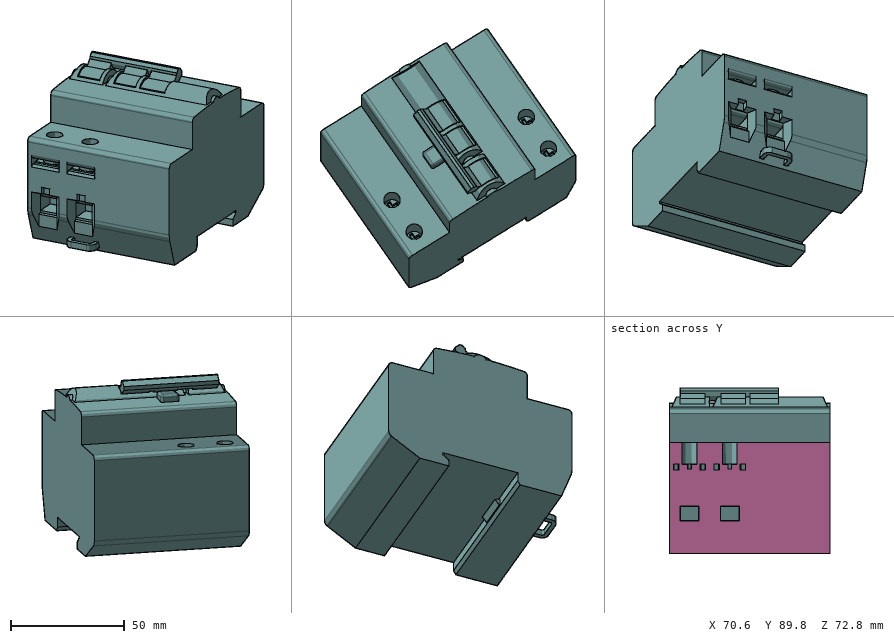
import cadquery as cq
import math

width = 70.6
half_depth = 43.9
shoulder_z = 48.9
shoulder_round = 2.0
neck_half_depth = 22.5
neck_edge_z = 63.3
crown_z = 64.5
neck_round = 2.0

front_foot_y = -38.9
front_bend_z = 14.2
front_bend_round = 10.0
rear_foot_y = 29.0
rear_bend_z = 8.8
rear_bend_round = 3.0

rail_half_width = 17.9
rail_top_z = 6.4
rear_hook_y = 15.15
rear_hook_low_z = 3.2
rear_hook_high_z = 5.5
front_lip_y = -19.05
front_lip_z = 2.0

pole_centers_x = (8.85, 26.55)
terminal_half_width = 6.85
screw_y = 35.25
screw_hole_diameter = 7.1
screw_head_diameter = 10.0
screw_head_top_z = 39.3
screw_head_bottom_z = 36.8
cross_length = 5.6
cross_width = 1.4
cross_depth = 2.0

window_bottom_z = 35.4
window_top_z = 40.9
window_depth = 8.0
window_sill_z = 36.5
window_ramp_run = 0.7

funnel_depth = 3.0
funnel_top_z = 23.6
funnel_inner_top_z = 22.6
clamp_half_width = 4.05
clamp_depth = 9.0
clamp_floor_z = 14.5
clamp_top_z = 20.8
sill_depth = 2.5
sill_front_z = 12.8
sill_rear_z = 13.5
key_slot_half_width = 2.0
key_slot_top_z = 26.7
key_slot_depth = 2.6

drum_radius = 8.1
drum_axis_z = 60.75
drum_base_z = 62.5
drum_slope_z = 64.4
drum_end_offset = 1.1
drum_end_offset_top = 3.1
first_drum_end_x = 17.6
second_pole_x = 18.0
hub_radius = 3.3
hub_axis_z = 62.8

grip_spans_x = ((4.7, 15.6), (22.7, 33.5), (35.5, 48.0))
seat_radius = 7.3
seat_ledge_z = 65.75
seat_rear_y = 4.0

overall_top_z = 72.79
bar_rear_corner = (9.95, 69.0)
bar_rear_shoulder = (9.95, 70.75)
bar_top_rear = (8.0, overall_top_z)
bar_top_front = (6.6, overall_top_z)
bar_front_shoulder = (5.2, 71.4)
bar_underside_mid = (5.4, 68.8)
bar_root = (7.2, 67.15)
web_ridge = (4.9, 70.25)
web_ridge_rear = (6.5, 70.25)
web_toe = (2.45, 67.6)
web_toe_base = (2.0, 65.5)
web_heel = (6.0, 66.4)

button_x = (24.2, 32.5)
button_y = (7.6, 15.6)
button_top_z = 67.2
button_round = 1.0

latch_x = (19.6, 33.5)
latch_z = (1.75, 4.7)
latch_front_y = -45.9
latch_round = 3.0
latch_wall = 2.0
latch_root_y = -38.0
nose_tip = (-15.5, 4.7)
nose_top_y = -17.9
nose_bottom_y = -17.6
nose_root_y = -19.0
nose_top_z = 5.8
nose_bottom_z = 2.3


def box(x_range, y_range, z_range):
    """Axis-aligned block between the given limits."""
    size = [high - low for low, high in (x_range, y_range, z_range)]
    corner = (x_range[0], y_range[0], z_range[0])
    return cq.Workplane("XY").box(*size, centered=False).translate(corner)


def extrude_along_x(points, x_start, x_end):
    """Prism along X from a closed outline of (y, z) points."""
    return cq.Workplane("YZ", origin=(x_start, 0, 0)).polyline(points).close().extrude(x_end - x_start)


def rod_along_x(radius, axis_z, x_start, x_end):
    """Cylinder along X on the centre plane Y = 0."""
    return cq.Workplane("YZ", origin=(x_start, 0, 0)).center(0, axis_z).circle(radius).extrude(x_end - x_start)


def frustum_from_front(outer, inner, outer_y, inner_y):
    """Tapering block between two (x_min, x_max, z_min, z_max) rectangles facing the front."""
    def rectangle_wire(rectangle, y):
        x_min, x_max, z_min, z_max = rectangle
        corners = [(x_min, y, z_min), (x_max, y, z_min), (x_max, y, z_max), (x_min, y, z_max)]
        return cq.Wire.makePolygon([cq.Vector(*corner) for corner in corners], close=True)

    wires = [rectangle_wire(outer, outer_y), rectangle_wire(inner, inner_y)]
    return cq.Workplane("XY").newObject([cq.Solid.makeLoft(wires, True)])


def quarter_arc_inset(radius):
    """Distance from the middle of a quarter round to each of its two tangent faces."""
    return radius * (1 - math.sqrt(0.5))


def round_edge(solid, y, z, radius):
    """Round the full-width edge that runs along X through (y, z)."""
    reach = 0.1
    selector = cq.selectors.BoxSelector(
        (-reach, y - reach, z - reach), (width + reach, y + reach, z + reach)
    )
    return solid.edges(selector).fillet(radius)


def make_housing():
    """Stepped breaker housing with a slightly domed crown and a rail recess."""
    housing = (
        cq.Workplane("YZ")
        .moveTo(front_foot_y, 0)
        .lineTo(-half_depth, front_bend_z)
        .lineTo(-half_depth, shoulder_z)
        .lineTo(-neck_half_depth, shoulder_z)
        .lineTo(-neck_half_depth, neck_edge_z)
        .threePointArc((0, crown_z), (neck_half_depth, neck_edge_z))
        .lineTo(neck_half_depth, shoulder_z)
        .lineTo(half_depth, shoulder_z)
        .lineTo(half_depth, rear_bend_z)
        .lineTo(rear_foot_y, 0)
        .lineTo(rear_hook_y, 0)
        .lineTo(rear_hook_y, rear_hook_low_z)
        .lineTo(rail_half_width, rear_hook_high_z)
        .lineTo(rail_half_width, rail_top_z)
        .lineTo(-rail_half_width, rail_top_z)
        .lineTo(-rail_half_width, front_lip_z)
        .lineTo(front_lip_y, 0)
        .close()
        .extrude(width)
    )
    for side in (-1, 1):
        housing = round_edge(housing, side * half_depth, shoulder_z, shoulder_round)
        housing = round_edge(housing, side * neck_half_depth, neck_edge_z, neck_round)
    housing = round_edge(housing, -half_depth, front_bend_z, front_bend_round)
    return round_edge(housing, half_depth, rear_bend_z, rear_bend_round)


def cut_screw_hole(solid, x, y):
    """Access hole down to a screw head with a cross recess."""
    hole = (
        cq.Workplane("XY", origin=(x, y, screw_head_top_z))
        .circle(screw_hole_diameter / 2)
        .extrude(shoulder_z - screw_head_top_z)
    )
    cross = (
        cq.Workplane("XY", origin=(x, y, screw_head_top_z - cross_depth))
        .rect(cross_length, cross_width)
        .extrude(cross_depth)
    )
    crossbar = cross.rotate((x, y, 0), (x, y, 1), 90)
    return solid.cut(hole).cut(cross).cut(crossbar)


def cut_window(solid, x):
    """Front window with a rounded lintel and stepped sill, exposing the side of the screw head."""
    front_y = -half_depth
    head_front_y = -screw_y - screw_head_diameter / 2
    sill_rise = window_sill_z - window_bottom_z
    lintel_radius = window_top_z - screw_head_top_z
    lintel_mid = quarter_arc_inset(lintel_radius)
    opening = (
        cq.Workplane("YZ", origin=(x - terminal_half_width, 0, 0))
        .moveTo(front_y, window_bottom_z)
        .lineTo(front_y + sill_rise, window_sill_z)
        .lineTo(head_front_y - window_ramp_run, window_sill_z)
        .lineTo(head_front_y, screw_head_bottom_z)
        .lineTo(front_y + window_depth, screw_head_bottom_z)
        .lineTo(front_y + window_depth, screw_head_top_z)
        .lineTo(front_y + lintel_radius, screw_head_top_z)
        .threePointArc((front_y + lintel_mid, screw_head_top_z + lintel_mid), (front_y, window_top_z))
        .close()
        .extrude(2 * terminal_half_width)
    )
    head = (
        cq.Workplane("XY", origin=(x, -screw_y, screw_head_bottom_z))
        .circle(screw_head_diameter / 2)
        .extrude(screw_head_top_z - screw_head_bottom_z)
    )
    return solid.cut(opening.cut(head))


def cut_terminal(solid, x):
    """Wire entry: funnel with a stepped sill, deep clamp opening, and a key slot above."""
    front_y = -half_depth
    sill_y = front_y + sill_depth
    funnel_y = front_y + funnel_depth
    clamp_rear_y = funnel_y + clamp_depth

    funnel = frustum_from_front(
        (x - terminal_half_width, x + terminal_half_width, 0, funnel_top_z),
        (x - clamp_half_width, x + clamp_half_width, 0, funnel_inner_top_z),
        front_y,
        funnel_y,
    )
    above_sill = [
        (front_y, 0),
        (sill_y, 0),
        (sill_y, sill_front_z),
        (funnel_y, sill_rear_z),
        (funnel_y, funnel_top_z),
        (front_y, funnel_top_z),
    ]
    funnel = funnel.intersect(extrude_along_x(above_sill, x - terminal_half_width, x + terminal_half_width))

    lip_radius = funnel_inner_top_z - clamp_top_z
    lip_mid = quarter_arc_inset(lip_radius)
    clamp = (
        cq.Workplane("YZ", origin=(x - clamp_half_width, 0, 0))
        .moveTo(funnel_y, clamp_floor_z)
        .lineTo(clamp_rear_y, clamp_floor_z)
        .lineTo(clamp_rear_y, clamp_top_z)
        .lineTo(funnel_y + lip_radius, clamp_top_z)
        .threePointArc((funnel_y + lip_mid, clamp_top_z + lip_mid), (funnel_y, funnel_inner_top_z))
        .close()
        .extrude(2 * clamp_half_width)
    )
    key_slot_x = (x - key_slot_half_width, x + key_slot_half_width)
    key_slot = box(key_slot_x, (front_y, front_y + key_slot_depth), (funnel_inner_top_z, key_slot_top_z))
    return solid.cut(funnel).cut(clamp).cut(key_slot)


def make_drum(x_start, x_end, slope_at_end):
    """Toggle drum above the crown; its left end always slopes, its right end optionally."""
    drum_top_z = drum_axis_z + drum_radius
    lean = (drum_end_offset_top - drum_end_offset) / (drum_top_z - drum_slope_z)
    low_offset = drum_end_offset - lean * (drum_slope_z - drum_base_z)
    end_low_offset = low_offset if slope_at_end else 0
    end_top_offset = drum_end_offset_top if slope_at_end else 0
    side_shape = [
        (x_start + low_offset, drum_base_z),
        (x_end - end_low_offset, drum_base_z),
        (x_end - end_top_offset, drum_top_z),
        (x_start + drum_end_offset_top, drum_top_z),
    ]
    envelope = cq.Workplane("XZ").polyline(side_shape).close().extrude(drum_radius, both=True)
    return rod_along_x(drum_radius, drum_axis_z, x_start, x_end).intersect(envelope)


def make_drums():
    """Toggle drums with recessed seats, and the hub that carries them across the full width."""
    hub = rod_along_x(hub_radius, hub_axis_z, 0, width)
    first = make_drum(0, first_drum_end_x, False)
    second = make_drum(second_pole_x, width, True)
    drums = first.union(second)
    for span in grip_spans_x:
        seat_block = box(span, (-drum_radius, seat_rear_y), (seat_ledge_z, drum_axis_z + drum_radius))
        seat_core = rod_along_x(seat_radius, drum_axis_z, *span)
        drums = drums.cut(seat_block.cut(seat_core))
    return drums.union(hub)


def make_handle():
    """Tilted finger bar with a rounded underside, joined to the drum seats by sloping webs."""
    bar = (
        cq.Workplane("YZ", origin=(grip_spans_x[0][0], 0, 0))
        .moveTo(*bar_front_shoulder)
        .lineTo(*bar_top_front)
        .lineTo(*bar_top_rear)
        .lineTo(*bar_rear_shoulder)
        .lineTo(*bar_rear_corner)
        .lineTo(*bar_root)
        .threePointArc(bar_underside_mid, bar_front_shoulder)
        .close()
        .extrude(grip_spans_x[-1][1] - grip_spans_x[0][0])
    )
    web_section = [web_ridge, web_ridge_rear, bar_root, web_heel, web_toe_base, web_toe]
    for span in grip_spans_x:
        bar = bar.union(extrude_along_x(web_section, *span))
    return bar


def make_button():
    """Test button with rounded edges behind the handle."""
    button = box(button_x, button_y, (drum_base_z, button_top_z))
    return button.edges("|Z").fillet(button_round).faces(">Z").edges().fillet(button_round)


def make_latch():
    """Rail latch: pull loop at the front and a wedge nose in the rail recess."""
    loop = box(latch_x, (latch_front_y, latch_root_y), latch_z)
    loop = loop.edges("|Z and <Y").fillet(latch_round)
    opening_x = (latch_x[0] + latch_wall, latch_x[1] - latch_wall)
    opening = box(opening_x, (latch_front_y + latch_wall, latch_root_y), latch_z)
    opening = opening.edges("|Z and <Y").fillet(latch_round - latch_wall)
    nose_section = [
        nose_tip,
        (nose_top_y, nose_top_z),
        (nose_root_y, nose_top_z),
        (nose_root_y, nose_bottom_z),
        (nose_bottom_y, nose_bottom_z),
    ]
    nose = extrude_along_x(nose_section, *latch_x)
    return loop.cut(opening).union(nose)


result = make_housing()
for pole_x in pole_centers_x:
    for row_y in (-screw_y, screw_y):
        result = cut_screw_hole(result, pole_x, row_y)
    result = cut_window(result, pole_x)
    result = cut_terminal(result, pole_x)
for attachment in (make_drums(), make_handle(), make_button(), make_latch()):
    result = result.union(attachment)